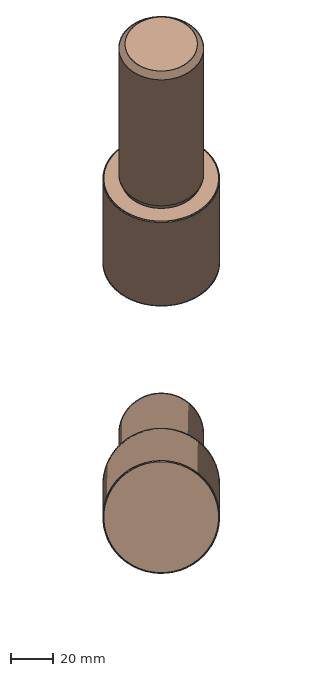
import cadquery as cq

total_height = 155.0
head_diameter = 55.0
head_height = 60.0
shank_diameter = 40.0

head_chamfer = 0.5
tip_chamfer = 3.0
groove_diameter = 38.0
groove_width = 3.0


def cylinder(diameter, bottom, top):
    """Solid cylinder on the Z axis between two heights."""
    return cq.Workplane("XY").workplane(offset=bottom).circle(diameter / 2).extrude(top - bottom)


head = cylinder(head_diameter, 0, head_height).faces("<Z or >Z").edges().chamfer(head_chamfer)

groove_top = head_height + groove_width
neck = cylinder(groove_diameter, head_height, groove_top)

shank = cylinder(shank_diameter, groove_top, total_height).faces(">Z").edges().chamfer(tip_chamfer)

result = head.union(neck).union(shank)